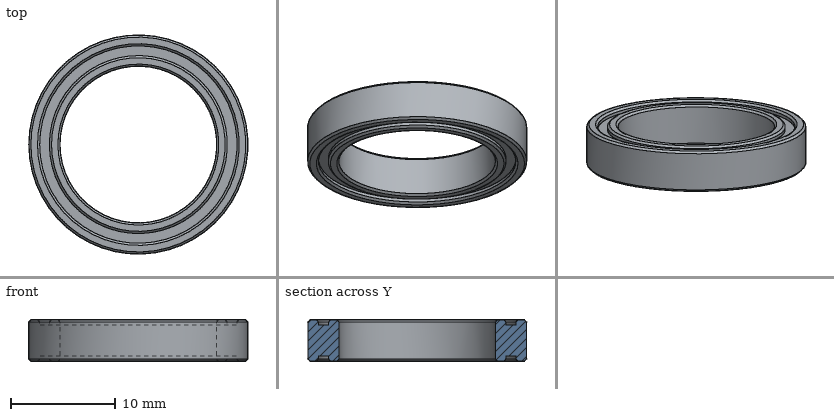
import cadquery as cq

outer_radius = 10.5
bore_radius = 7.5
width = 4.0

recess_outer_radius = 9.65
recess_inner_radius = 8.32
recess_depth = 0.5

chamfer = 0.2

face_z = width / 2
chamfer_z = face_z - chamfer
floor_z = face_z - recess_depth
shield_outer_radius = recess_outer_radius - chamfer
shield_inner_radius = recess_inner_radius + chamfer

upper_profile = [
    (bore_radius, chamfer_z),
    (bore_radius + chamfer, face_z),
    (recess_inner_radius, face_z),
    (shield_inner_radius, chamfer_z),
    (shield_inner_radius, floor_z),
    (shield_outer_radius, floor_z),
    (shield_outer_radius, chamfer_z),
    (recess_outer_radius, face_z),
    (outer_radius - chamfer, face_z),
    (outer_radius, chamfer_z),
]
lower_profile = [(radius, -z) for radius, z in reversed(upper_profile)]

section = [(-radius, z) for radius, z in upper_profile + lower_profile]
result = cq.Workplane("XZ").polyline(section).close().revolve(360, (0, 0), (0, 1))